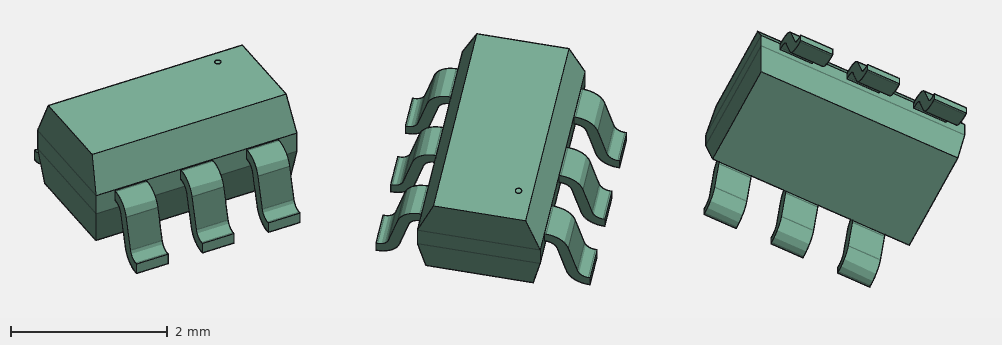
import cadquery as cq
import math

BODY_WIDTH = 1.6
BODY_LENGTH = 2.9
BELT_HEIGHT = 0.287
TAPER_HEIGHT = 0.505
TOP_WIDTH = 1.2
BOTTOM_WIDTH = 1.4
END_INSET = 0.05
BODY_BOTTOM = 0.148

BELT_BOTTOM = BODY_BOTTOM + TAPER_HEIGHT
BELT_TOP = BELT_BOTTOM + BELT_HEIGHT
BODY_TOP = BELT_TOP + TAPER_HEIGHT
TAPERED_LENGTH = BODY_LENGTH - 2 * END_INSET

LEAD_SPAN = 2.79
LEAD_TOP = 0.928
LEAD_WIDTH = 0.458
LEAD_THICKNESS = 0.15
LEAD_PITCH = 0.95
LEADS_PER_SIDE = 3
BEND_ANGLE = 75.0
INNER_RADIUS = 0.148
OUTER_RADIUS = INNER_RADIUS + LEAD_THICKNESS

OVERALL_HEIGHT = 1.45
MARKER_DIAMETER = 0.08
MARKER_X = -0.418
MARKER_Y = LEAD_PITCH
MARKER_HEIGHT = OVERALL_HEIGHT - BODY_TOP


def tapered_block(bottom_z, bottom_size, top_z, top_size):
    """Block with flat sloping sides between two centred rectangles."""
    return (
        cq.Workplane("XY", origin=(0, 0, bottom_z))
        .rect(*bottom_size)
        .workplane(offset=top_z - bottom_z)
        .rect(*top_size)
        .loft(ruled=True)
    )


def make_housing():
    belt_size = (BODY_WIDTH, BODY_LENGTH)
    base = tapered_block(BODY_BOTTOM, (BOTTOM_WIDTH, TAPERED_LENGTH), BELT_BOTTOM, belt_size)
    belt = tapered_block(BELT_BOTTOM, belt_size, BELT_TOP, belt_size)
    cap = tapered_block(BELT_TOP, belt_size, BODY_TOP, (TOP_WIDTH, TAPERED_LENGTH))
    return base.union(belt).union(cap)


def make_lead(y):
    """Lead on the +X side, centred on y, from the housing wall to the foot tip."""
    wall_x = BODY_WIDTH / 2
    tip_x = LEAD_SPAN / 2
    bend = math.radians(BEND_ANGLE)

    radius_sum = OUTER_RADIUS + INNER_RADIUS
    leg_drop = LEAD_TOP - LEAD_THICKNESS - radius_sum * (1 - math.cos(bend))
    leg_run = leg_drop / math.tan(bend)
    flat = (tip_x - wall_x - radius_sum * math.sin(bend) - leg_run) / 2

    shoulder_x = wall_x + flat
    shoulder_z = LEAD_TOP - OUTER_RADIUS
    foot_x = tip_x - flat
    foot_z = OUTER_RADIUS

    def shoulder(radius, angle):
        """Point on the upper bend, at an angle measured from straight up."""
        return shoulder_x + radius * math.sin(angle), shoulder_z + radius * math.cos(angle)

    def foot(radius, angle):
        """Point on the lower bend, at an angle measured from straight down."""
        return foot_x - radius * math.sin(angle), foot_z - radius * math.cos(angle)

    profile = (
        cq.Workplane("XZ", origin=(0, y + LEAD_WIDTH / 2, 0))
        .moveTo(wall_x, LEAD_TOP)
        .lineTo(*shoulder(OUTER_RADIUS, 0))
        .threePointArc(shoulder(OUTER_RADIUS, bend / 2), shoulder(OUTER_RADIUS, bend))
        .lineTo(*foot(INNER_RADIUS, bend))
        .threePointArc(foot(INNER_RADIUS, bend / 2), foot(INNER_RADIUS, 0))
        .lineTo(tip_x, LEAD_THICKNESS)
        .lineTo(tip_x, 0)
        .lineTo(*foot(OUTER_RADIUS, 0))
        .threePointArc(foot(OUTER_RADIUS, bend / 2), foot(OUTER_RADIUS, bend))
        .lineTo(*shoulder(INNER_RADIUS, bend))
        .threePointArc(shoulder(INNER_RADIUS, bend / 2), shoulder(INNER_RADIUS, 0))
        .lineTo(wall_x, LEAD_TOP - LEAD_THICKNESS)
        .close()
    )
    return profile.extrude(LEAD_WIDTH)


def make_leads():
    leads = []
    for index in range(LEADS_PER_SIDE):
        y = (index - (LEADS_PER_SIDE - 1) / 2) * LEAD_PITCH
        right_lead = make_lead(y)
        left_lead = right_lead.mirror("YZ")
        leads += [right_lead.val(), left_lead.val()]
    return leads


def make_marker():
    return (
        cq.Workplane("XY", origin=(MARKER_X, MARKER_Y, BODY_TOP))
        .circle(MARKER_DIAMETER / 2)
        .extrude(MARKER_HEIGHT)
    )


housing = make_housing()
leads = make_leads()
marker = make_marker()

result = cq.Compound.makeCompound([housing.val(), *leads, marker.val()])